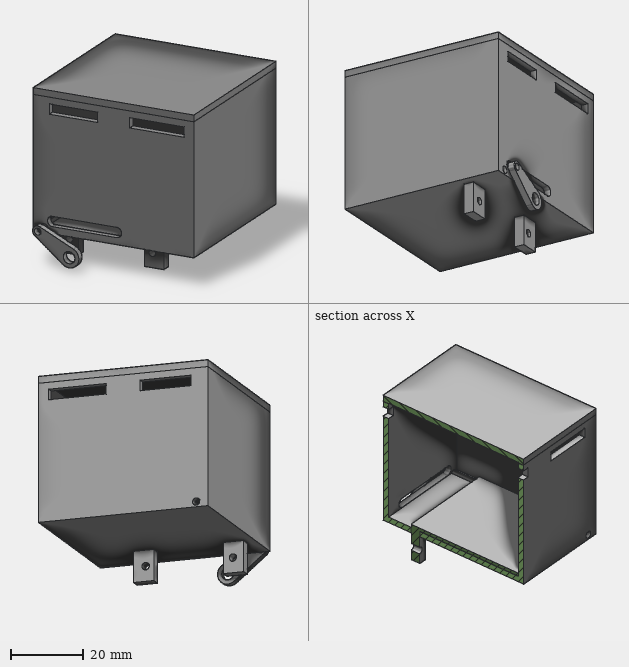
import cadquery as cq
import math


side = 50.0
housing_height = 40.0
wall = 2.0
lid_thickness = 2.0

window_height = 3.0
window_bottom = 35.0
window_spans = [(5.0, 20.0), (30.0, 47.0)]

slot_left = 4.5
slot_length = 23.0
slot_height = 3.0
slot_bottom = 2.1

arm_gap = 2.0
arm_thickness = 2.0
pivot = (3.45, 1.5)
pivot_radius = 1.6
pivot_hole = 2.05
bore_diameter = 2.1
eye = (13.25, -4.6)
eye_radius = 3.0
eye_hole = 3.55

tray_thickness = 1.0
leg_width = 6.0
leg_thickness = 3.0
leg_front = 10.0
leg_drop = 8.95
leg_lefts = [3.0, 29.55]
leg_hole = 2.1
leg_hole_centers = [(6.2, -4.6), (31.95, -4.6)]


def box(x, y, z, length, depth, height):
    """Block with its low corner at (x, y, z)."""
    return cq.Workplane("XY").box(length, depth, height, centered=False).translate((x, y, z))


def bore(center, diameter, start, length):
    """Cylinder along +Y at an (x, z) center, starting at y = start."""
    axis_start = cq.Vector(center[0], start, center[1])
    cylinder = cq.Solid.makeCylinder(diameter / 2, length, axis_start, cq.Vector(0, 1, 0))
    return cq.Workplane("XY").add(cylinder)


def make_legs(bottom):
    """Both legs from the given bottom up to the top of the housing floor."""
    legs = cq.Workplane("XY")
    for left in leg_lefts:
        legs = legs.add(box(left, leg_front, bottom, leg_width, leg_thickness, wall - bottom).val())
    return legs


def make_front_slot():
    """Round-ended cutter for the slot in the front wall."""
    center_x = slot_left + slot_length / 2
    center_z = slot_bottom + slot_height / 2
    return (
        cq.Workplane("XZ")
        .center(center_x, center_z)
        .slot2D(slot_length, slot_height)
        .extrude(-wall)
    )


def make_housing():
    """Open-topped box with windows, front slot, pivot bore and leg openings."""
    inside = side - 2 * wall
    housing = box(0, 0, 0, side, side, housing_height)
    housing = housing.cut(box(wall, wall, wall, inside, inside, housing_height - wall))
    for left, right in window_spans:
        housing = housing.cut(box(left, 0, window_bottom, right - left, side, window_height))
    housing = housing.cut(make_front_slot())
    housing = housing.cut(bore(pivot, bore_diameter, 0, side))
    for leg in make_legs(0).vals():
        housing = housing.cut(cq.Workplane("XY").add(leg))
    return housing


def make_lid():
    """Flat plate closing the top of the housing."""
    return box(0, 0, housing_height, side, side, lid_thickness)


def make_tray():
    """Plate on the housing floor, joined to its two drilled legs."""
    inside = side - 2 * wall
    tray = box(wall, leg_front, wall, inside, side - wall - leg_front, tray_thickness)
    for leg in make_legs(-leg_drop).vals():
        tray = tray.union(cq.Workplane("XY").add(leg))
    for center in leg_hole_centers:
        tray = tray.cut(bore(center, leg_hole, leg_front, leg_thickness))
    return tray.cut(bore(pivot, bore_diameter, 0, side))


def make_arm():
    """Tapered link: two round ends joined by their common tangents."""
    run = eye[0] - pivot[0]
    rise = eye[1] - pivot[1]
    heading = math.atan2(rise, run)
    tangent_turn = math.acos((pivot_radius - eye_radius) / math.hypot(run, rise))

    def rim_point(center, radius, angle):
        return (center[0] + radius * math.cos(angle), center[1] + radius * math.sin(angle))

    upper = heading + tangent_turn
    lower = heading - tangent_turn
    arm = (
        cq.Workplane("XZ", origin=(0, -arm_gap, 0))
        .moveTo(*rim_point(pivot, pivot_radius, upper))
        .lineTo(*rim_point(eye, eye_radius, upper))
        .threePointArc(rim_point(eye, eye_radius, heading), rim_point(eye, eye_radius, lower))
        .lineTo(*rim_point(pivot, pivot_radius, lower))
        .threePointArc(
            rim_point(pivot, pivot_radius, heading + math.pi),
            rim_point(pivot, pivot_radius, upper),
        )
        .close()
        .extrude(arm_thickness)
    )
    arm_front = -arm_gap - arm_thickness
    arm = arm.cut(bore(pivot, pivot_hole, arm_front, arm_thickness))
    return arm.cut(bore(eye, eye_hole, arm_front, arm_thickness))


housing = make_housing()
lid = make_lid()
tray = make_tray()
arm = make_arm()

result = cq.Compound.makeCompound([housing.val(), lid.val(), tray.val(), arm.val()])